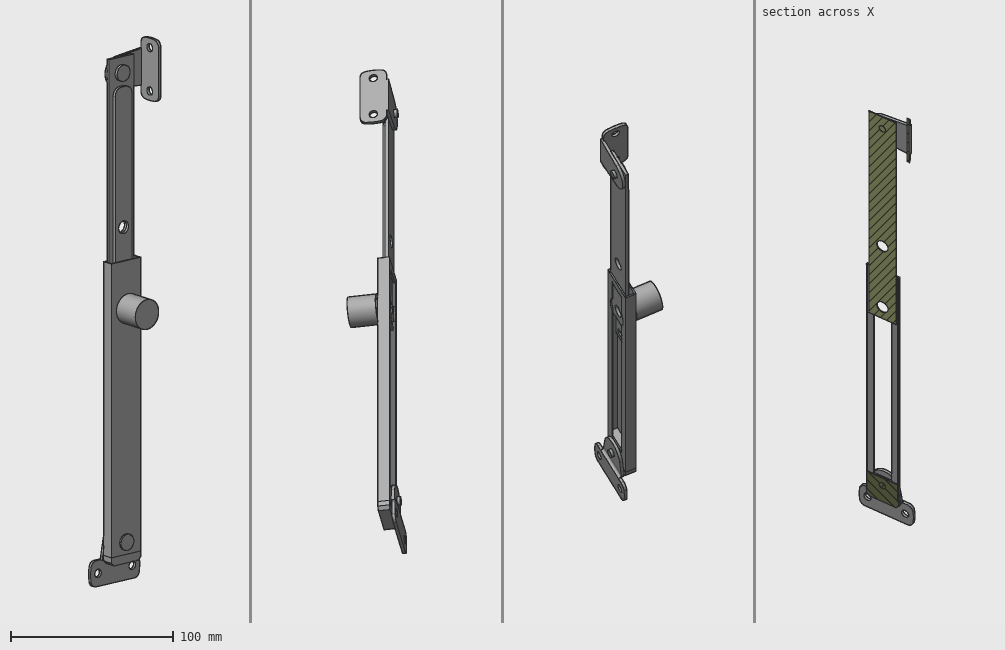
import cadquery as cq
import math


total_length = 348.0
total_width = 40.0
total_depth = 32.0

plate = 2.0
wall = 0.97

foot_width = 16.7
foot_bulge = 1.0
foot_corner_radius = 4.2
screw_hole_diameter = 5.2
screw_hole_spacing = 28.0
tongue_base_width = 24.0
tongue_tip_radius = 10.0
half_foot = total_width / 2

rivet_diameter = 5.2
rivet_head_diameter = 10.5
lower_head_thickness = 1.22
lower_rivet_z = 28.2
upper_rivet_z = total_length - half_foot

lower_tongue_x = plate
upper_tongue_x = 2 * plate
outer_bar_x = 3 * plate
inner_bar_x = 4 * plate
upper_foot_x = 5.2

channel_width = 24.0
channel_depth = 7.3
channel_bottom_z = 20.2
channel_top_z = 208.5
channel_x = outer_bar_x - wall
channel_back_x = channel_x + channel_depth
slot_width = 13.2
slot_end_margin = 6.3
slot_top_z = channel_top_z - slot_end_margin
slot_eye_diameter = 17.5

plug_bottom_z = 14.5
plug_top_z = 34.8
plug_chamfer = 2.0
stem_width = channel_width - 2 * wall

outer_bar_width = 20.2
outer_bar_bottom_z = 168.5
outer_bar_top_z = upper_rivet_z + outer_bar_width / 2
inner_bar_width = 13.5
inner_bar_bottom_z = 145.5
inner_bar_top_z = 319.5
inner_bar_corner_radius = 5.2
lock_hole_diameter = 8.0
lock_hole_z = 178.2
stop_hole_z = 229.5
window_width = 7.3
window_height = 4.0
window_z = 151.0

knob_diameter = 19.0
knob_length = 17.7
neck_diameter = 13.5
knob_x = total_depth - knob_length


def slab(x, thickness, width, z_bottom, z_top):
    """Upright rectangular block centred on Y = 0."""
    size = (thickness, width, z_top - z_bottom)
    return cq.Workplane("XY").box(*size, centered=(False, True, False)).translate((x, 0, z_bottom))


def rod(x_start, x_end, diameter, z):
    """Cylinder along X at height z."""
    plane = cq.Plane((x_start, 0, z), xDir=(0, -1, 0), normal=(1, 0, 0))
    return cq.Workplane(plane).circle(diameter / 2).extrude(x_end - x_start)


def foot_plate(plane):
    """Screw plate along the plane's local x axis, with bulged ends and two holes."""
    end = half_foot - foot_bulge
    side = foot_width / 2
    body = (
        cq.Workplane(plane)
        .moveTo(-end, -side)
        .lineTo(end, -side)
        .threePointArc((half_foot, 0), (end, side))
        .lineTo(-end, side)
        .threePointArc((-half_foot, 0), (-end, -side))
        .close()
        .extrude(plate)
    )
    rounded = body.edges(cq.selectors.ParallelDirSelector(plane.zDir)).fillet(foot_corner_radius)
    holes = (
        cq.Workplane(plane)
        .pushPoints([(-screw_hole_spacing / 2, 0), (screw_hole_spacing / 2, 0)])
        .circle(screw_hole_diameter / 2)
        .extrude(plate)
    )
    return rounded.cut(holes)


def tongue(plane, length):
    """Tapered tongue from a base at local y = -length to a round tip about the rivet hole."""
    half_base = tongue_base_width / 2
    corner_distance = math.hypot(half_base, length)
    tangent_angle = math.acos(tongue_tip_radius / corner_distance) - math.atan2(length, half_base)
    tangent_x = tongue_tip_radius * math.cos(tangent_angle)
    tangent_y = tongue_tip_radius * math.sin(tangent_angle)
    return (
        cq.Workplane(plane)
        .moveTo(-half_base, -length)
        .lineTo(half_base, -length)
        .lineTo(tangent_x, tangent_y)
        .threePointArc((0, tongue_tip_radius), (-tangent_x, tangent_y))
        .close()
        .extrude(plate)
        .cut(cq.Workplane(plane).circle(rivet_diameter / 2).extrude(plate))
    )


def make_lower_bracket():
    """Foot at X = 0, joined to the offset tongue by a step with a rounded outer edge."""
    tongue_base_z = foot_width + plate
    foot_plane = cq.Plane((0, 0, foot_width / 2), xDir=(0, 1, 0), normal=(1, 0, 0))
    tongue_plane = cq.Plane((lower_tongue_x, 0, lower_rivet_z), xDir=(0, 1, 0), normal=(1, 0, 0))
    step = (
        cq.Workplane("XZ", origin=(0, tongue_base_width / 2, 0))
        .moveTo(0, foot_width)
        .radiusArc((plate, tongue_base_z), -plate)
        .lineTo(2 * plate, tongue_base_z)
        .lineTo(2 * plate, foot_width)
        .close()
        .extrude(tongue_base_width)
    )
    blade = tongue(tongue_plane, lower_rivet_z - tongue_base_z)
    return foot_plate(foot_plane).union(step).union(blade)


def make_upper_bracket():
    """L-shaped bracket: foot on the +Y side, tongue reaching towards -Y over the upper rivet."""
    foot_center = (upper_foot_x + foot_width / 2, half_foot, upper_rivet_z)
    foot_plane = cq.Plane(foot_center, xDir=(0, 0, 1), normal=(0, -1, 0))
    tongue_plane = cq.Plane((upper_tongue_x, 0, upper_rivet_z), xDir=(0, 0, 1), normal=(1, 0, 0))
    return foot_plate(foot_plane).union(tongue(tongue_plane, half_foot))


def make_rivet(x_tip, x_head, head_thickness, z):
    """Rivet with its plain tip on the -X side and its flat head on the +X side."""
    shank = rod(x_tip, x_head, rivet_diameter, z)
    return shank.union(rod(x_head, x_head + head_thickness, rivet_head_diameter, z))


def make_channel():
    """Box section open at both ends, with an eyed slot in its -X wall."""
    outside = slab(channel_x, channel_depth, channel_width, channel_bottom_z, channel_top_z)
    inside = slab(outer_bar_x, channel_depth - 2 * wall, stem_width, channel_bottom_z, channel_top_z)
    slot = slab(channel_x, wall, slot_width, plug_top_z, slot_top_z)
    eye = rod(channel_x, outer_bar_x, slot_eye_diameter, lock_hole_z)
    rivet_hole = rod(channel_x, channel_back_x, rivet_diameter, lower_rivet_z)
    return outside.cut(inside).cut(slot).cut(eye).cut(rivet_hole)


def make_end_plug():
    """Plug filling the lower end of the channel, with a full-depth chamfered foot below it."""
    foot = slab(channel_x, channel_depth, channel_width, plug_bottom_z, channel_bottom_z)
    foot = foot.faces("<Z").edges("|X").chamfer(plug_chamfer)
    stem = slab(outer_bar_x, channel_depth - 2 * wall, stem_width, channel_bottom_z, plug_top_z)
    rivet_hole = rod(outer_bar_x, channel_back_x, rivet_diameter, lower_rivet_z)
    return foot.union(stem).cut(rivet_hole)


def make_outer_bar():
    """Bar against the -X wall of the channel, hung from the upper rivet."""
    bar = slab(outer_bar_x, plate, outer_bar_width, outer_bar_bottom_z, outer_bar_top_z)
    bar = bar.cut(rod(outer_bar_x, inner_bar_x, rivet_diameter, upper_rivet_z))
    for z in (lock_hole_z, stop_hole_z):
        bar = bar.cut(rod(outer_bar_x, inner_bar_x, lock_hole_diameter, z))
    return bar


def make_inner_bar():
    """Bar behind the outer bar, with rounded top corners and a small window near its lower end."""
    bar = slab(inner_bar_x, plate, inner_bar_width, inner_bar_bottom_z, inner_bar_top_z)
    bar = bar.faces(">Z").edges("|X").fillet(inner_bar_corner_radius)
    for z in (lock_hole_z, stop_hole_z):
        bar = bar.cut(rod(inner_bar_x, inner_bar_x + plate, lock_hole_diameter, z))
    half_window = window_height / 2
    window = slab(inner_bar_x, plate, window_width, window_z - half_window, window_z + half_window)
    return bar.cut(window)


def make_knob():
    """Round knob on a shorter neck against the +X wall of the channel."""
    neck = rod(channel_back_x, knob_x, neck_diameter, lock_hole_z)
    return neck.union(rod(knob_x, total_depth, knob_diameter, lock_hole_z))


lower_bracket = make_lower_bracket()
upper_bracket = make_upper_bracket()
lower_rivet = make_rivet(0, channel_back_x, lower_head_thickness, lower_rivet_z)
upper_rivet = make_rivet(lower_tongue_x, inner_bar_x, plate, upper_rivet_z)
channel = make_channel()
end_plug = make_end_plug()
outer_bar = make_outer_bar()
inner_bar = make_inner_bar()
knob = make_knob()

result = cq.Compound.makeCompound(
    [
        lower_bracket.val(),
        upper_bracket.val(),
        lower_rivet.val(),
        upper_rivet.val(),
        channel.val(),
        end_plug.val(),
        outer_bar.val(),
        inner_bar.val(),
        knob.val(),
    ]
)